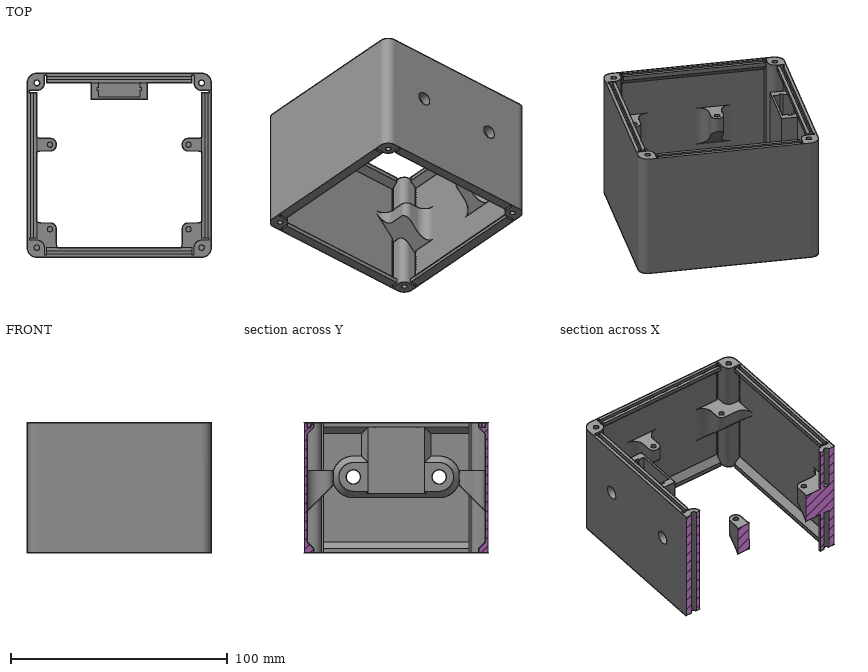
import cadquery as cq

side = 85.0
height = 60.0
corner_radius = 4.5
wall = 1.5
half_side = side / 2
inner_face = half_side - wall

rim_depth = 4.5
rim_straight = 2.0
groove_width = 1.45
groove_depth = 2.0
rim_face = half_side - rim_depth

post_width = 8.0
post_round = 3.5
screw_inset = 4.5
screw_hole = 2.55
slit_width = 1.0
slit_skin = 1.0
rim_length = side - 2 * (post_width + slit_width)

standoff_top = 38.1
standoff_radius = 3.0
standoff_fillet = 5.0
standoff_tip_height = 6.8
standoff_hole = 2.5
standoff_hole_depth = 5.95
standoff_x = 32.0
standoff_back_y = 9.5
standoff_front_y = -29.5

boss_radius = 6.6
boss_z = 35.0
boss_hole_x = 19.8
boss_hole = 6.5
slope_angle = 45
taper = inner_face - rim_face

holder_width = 26.0
holder_depth = 12.1
holder_bottom = 27.45
holder_top = height - groove_depth
holder_skin = 1.0
pocket_width = 19.2
notch_width = 1.45
notch_depth = 0.8
notch_inset = 7.3


def block(x0, x1, y0, y1, z0, z1):
    """Box given by its limits along the three axes."""
    return cq.Workplane("XY").box(x1 - x0, y1 - y0, z1 - z0, centered=False).translate((x0, y0, z0))


def make_outer_block():
    """Solid block with the rounded outline of the enclosure."""
    return cq.Workplane("XY").rect(side, side).extrude(height).edges("|Z").fillet(corner_radius)


def make_tube():
    """Four plain walls."""
    inner = cq.Workplane("XY").rect(2 * inner_face, 2 * inner_face).extrude(height)
    return make_outer_block().cut(inner)


def make_rims():
    """Upper and lower rim of the +X wall."""
    support_end = rim_straight + taper
    lower = (
        cq.Workplane("XZ")
        .moveTo(inner_face, 0)
        .lineTo(rim_face, 0)
        .lineTo(rim_face, rim_straight)
        .lineTo(inner_face, support_end)
        .close()
        .extrude(rim_length / 2, both=True)
    )
    upper = lower.mirror("XY").translate((0, 0, height))
    groove = block(
        inner_face - groove_width, inner_face,
        -rim_length / 2, rim_length / 2,
        height - groove_depth, height,
    )
    return lower.union(upper.cut(groove))


def make_slits():
    """The two slits around the post of the +X +Y corner, running the full height."""
    start = rim_length / 2
    end = half_side - post_width
    outer_limit = half_side - slit_skin
    along_x = block(start, end, end, outer_limit, 0, height)
    along_y = block(end, outer_limit, start, end, 0, height)
    return along_x.union(along_y)


def make_post():
    """Post of the +X +Y corner, inside the rounded outline of the tube."""
    start = half_side - post_width
    square = block(start, half_side, start, half_side, 0, height)
    return square.edges("|Z and <X and <Y").fillet(post_round).intersect(make_outer_block())


def make_standoff(y, reaches_corner):
    """Standoff on the +X wall; near a corner it also fills the space to the front wall."""
    root = half_side - slit_skin
    tip = standoff_x - standoff_radius
    low = standoff_top - standoff_tip_height - (root - tip)
    top = y + standoff_radius
    flare = inner_face - standoff_fillet
    outline = (
        cq.Workplane("XY")
        .workplane(offset=low)
        .moveTo(root, top + standoff_fillet)
        .lineTo(inner_face, top + standoff_fillet)
        .radiusArc((flare, top), standoff_fillet)
        .lineTo(standoff_x, top)
    )
    if reaches_corner:
        front = -inner_face
        outline = (
            outline.radiusArc((tip, y), -standoff_radius)
            .lineTo(tip, front + standoff_fillet)
            .radiusArc((tip - standoff_fillet, front), standoff_fillet)
            .lineTo(tip - standoff_fillet, -root)
            .lineTo(root, -root)
        )
    else:
        bottom = y - standoff_radius
        outline = (
            outline.threePointArc((tip, y), (standoff_x, bottom))
            .lineTo(flare, bottom)
            .radiusArc((inner_face, bottom - standoff_fillet), standoff_fillet)
            .lineTo(root, bottom - standoff_fillet)
        )
    body = outline.close().extrude(standoff_top - low)
    past_tip = tip - standoff_fillet
    underside = (
        cq.Workplane("XZ")
        .moveTo(past_tip, low)
        .lineTo(root, low)
        .lineTo(past_tip, low + root - past_tip)
        .close()
        .extrude(half_side, both=True)
    )
    hole = (
        cq.Workplane("XY")
        .workplane(offset=standoff_top - standoff_hole_depth)
        .center(standoff_x, y)
        .circle(standoff_hole / 2)
        .extrude(standoff_hole_depth)
    )
    return body.cut(underside).cut(hole).intersect(make_outer_block())


def make_boss():
    """Tapered stadium on the inner face of the back wall."""
    length = 2 * (boss_hole_x + boss_radius + taper)
    return (
        cq.Workplane("XZ", origin=(0, inner_face, boss_z))
        .slot2D(length, 2 * (boss_radius + taper))
        .extrude(taper, taper=slope_angle)
    )


def make_holder():
    """Outside of the holder, flaring at 45 degrees where it meets the back wall."""
    half = holder_width / 2
    front = half_side - holder_depth
    return (
        cq.Workplane("XY")
        .workplane(offset=holder_bottom)
        .moveTo(-half, front)
        .lineTo(half, front)
        .lineTo(half, rim_face)
        .lineTo(half + taper, inner_face)
        .lineTo(-half - taper, inner_face)
        .lineTo(-half, rim_face)
        .close()
        .extrude(holder_top - holder_bottom)
    )


def make_pocket():
    """Inside of the holder, with a notch in each side wall."""
    half = pocket_width / 2
    floor = holder_bottom + holder_skin
    front = half_side - holder_depth + holder_skin
    notch_y = half_side - notch_inset
    notch_reach = half + notch_depth
    pocket = block(-half, half, front, inner_face, floor, holder_top)
    notches = block(
        -notch_reach, notch_reach,
        notch_y - notch_width / 2, notch_y + notch_width / 2,
        floor, holder_top,
    )
    return pocket.union(notches)


boss_holes = (
    cq.Workplane("XZ", origin=(0, half_side, boss_z))
    .pushPoints([(-boss_hole_x, 0), (boss_hole_x, 0)])
    .circle(boss_hole / 2)
    .extrude(rim_depth)
)
body = make_tube().union(make_boss()).union(make_holder()).cut(make_pocket()).cut(boss_holes)

for quarter in range(4):
    corner_parts = make_rims().union(make_post())
    body = body.union(corner_parts.rotate((0, 0, 0), (0, 0, 1), 90 * quarter))
for quarter in range(4):
    body = body.cut(make_slits().rotate((0, 0, 0), (0, 0, 1), 90 * quarter))

screw_span = side - 2 * screw_inset
screw_points = cq.Workplane("XY").rect(screw_span, screw_span, forConstruction=True).vertices()
body = body.cut(screw_points.circle(screw_hole / 2).extrude(height))

for standoff in (make_standoff(standoff_back_y, False), make_standoff(standoff_front_y, True)):
    body = body.union(standoff).union(standoff.mirror("YZ"))

result = body